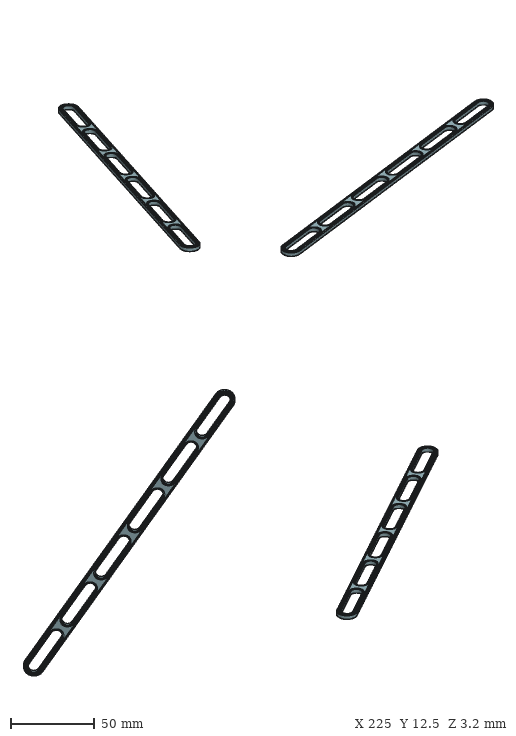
import cadquery as cq

length = 225.0
width = 12.5
thickness = 3.2
outer_chamfer = 0.5

slot_count = 6
slot_width = 7.0
end_wall = 2.7
bridge = 2 * end_wall
slot_chamfer = 0.34
slot_length = (length - 2 * end_wall - (slot_count - 1) * bridge) / slot_count
slot_pitch = slot_length + bridge

border = 1.1
slot_lip = 1.01
pocket_depth = 0.2


def stadium(bar_length, bar_width, height):
    """Round-ended bar centred on the origin."""
    return cq.Workplane("XY").slot2D(bar_length, bar_width).extrude(height / 2, both=True)


def slot_row(height, margin=0.0, edge_chamfer=0.0):
    """Row of slot-shaped bars, widened by margin and flared by edge_chamfer at both faces."""
    bar_length = slot_length + 2 * margin
    bar_width = slot_width + 2 * margin
    row = (
        cq.Workplane("XY")
        .rarray(slot_pitch, 2.2, slot_count, 1)
        .slot2D(bar_length, bar_width)
        .extrude(height / 2, both=True)
    )
    if edge_chamfer:
        flare = (
            cq.Workplane("XY")
            .workplane(offset=height / 2)
            .rarray(slot_pitch, 2.2, slot_count, 1)
            .slot2D(bar_length + 2 * edge_chamfer, bar_width + 2 * edge_chamfer)
            .extrude(-edge_chamfer, taper=45)
        )
        row = row.union(flare).union(flare.mirror("XY"))
    return row


def make_plate():
    """Plate with its outer top and bottom edges chamfered."""
    return stadium(length, width, thickness).faces("|Z").edges().chamfer(outer_chamfer)


def make_pockets():
    """Material removed from both faces inside the border and outside the slot lips."""
    inside_border = stadium(length - 2 * border, width - 2 * border, thickness)
    core = stadium(length, width, thickness - 2 * pocket_depth)
    return inside_border.cut(core).cut(slot_row(thickness, margin=slot_lip))


result = make_plate().cut(make_pockets()).cut(slot_row(thickness, edge_chamfer=slot_chamfer))